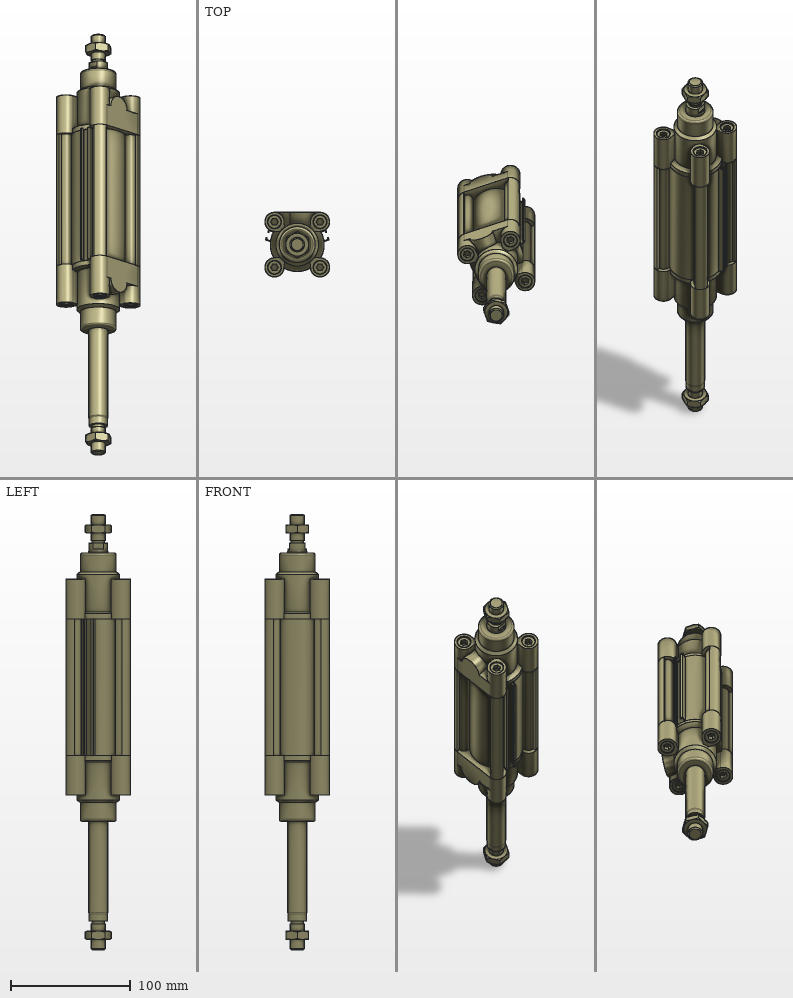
import cadquery as cq
import math


STROKE = 75.0
COVERS_LENGTH = 180.0
BARREL_LENGTH = 114.0
POST_SPACING = 38.0
POST_RADIUS = 8.0
ROD_DIAMETER = 16.0
THREAD_DIAMETER = 12.0
THREAD_LENGTH = 24.0
ROD_REACH = 30.0

POST_OFFSET = POST_SPACING / 2
POST_OUTER = POST_OFFSET + POST_RADIUS
POST_INNER = POST_OFFSET - POST_RADIUS
COVER_END = COVERS_LENGTH / 2
BARREL_END = BARREL_LENGTH / 2
CORNERS = [(1, 1), (-1, 1), (-1, -1), (1, -1)]

FLANGE_RADIUS = 22.5
FLANGE_TOP = BARREL_END + 4.2
FLANGE_CONE_RISE = 1.3
HUB_RADIUS = 17.8
HUB_TOP = COVER_END + 4.0
NECK_RADIUS = 15.0
NECK_BOTTOM = HUB_TOP + 2.2
NECK_TOP = COVER_END + 22.0
NECK_FILLET = 2.0
WEB_CORNER = 10.5
POST_RECESS_DIAMETER = 10.8
POST_RECESS_DEPTH = 1.0
POST_RECESS_CHAMFER = 0.4
POST_SOCKET_ACROSS_FLATS = 5.5
POST_SOCKET_DEPTH = 6.0
PORT_BOSS_X = 4.0
PORT_BOSS_RADIUS = 10.0
PORT_BOSS_Z = 75.0

BARREL_RADIUS = 22.5
COLUMN_RADIUS = 5.0
COLUMN_CAP_START = 19.6
RAIL_ANGLE = 18.0
RAIL_WIDTH = 9.0
RAIL_FACE = 26.5
RAIL_WALL = 0.7
RAIL_MOUTH = 4.4
RAIL_LIP = 0.9
RAIL_FLOOR = 21.0

ROD_END_DIAMETER = 15.5
ROD_END_LENGTH = 6.0
ROD_END_TAPER = 1.0
UNDERCUT_DIAMETER = 10.5
UNDERCUT_LENGTH = 2.3
TIP_CHAMFER = 1.0
SHOULDER_TOP = COVER_END + ROD_REACH
SHOULDER_BOTTOM = -SHOULDER_TOP - STROKE
FLATS_WIDTH = 13.0
FLATS_LENGTH = 5.0

NUT_ACROSS_FLATS = 19.0
NUT_THICKNESS = 7.0
NUT_TO_TIP = 8.6
NUT_CHAMFER_ANGLE = 30.0


def rod_bore():
    """Cutter for the hole that the rod runs through."""
    return cq.Workplane().circle(ROD_DIAMETER / 2).extrude(COVERS_LENGTH, both=True)


def hexagon_corner_diameter(across_flats):
    """Diameter across the corners of a regular hexagon."""
    return across_flats / math.cos(math.pi / 6)


def post():
    """Round corner post in the +X +Y corner, with a web that runs in to the hub."""
    length = COVER_END - BARREL_END
    round_post = cq.Workplane().circle(POST_RADIUS).extrude(length)
    web = (
        cq.Workplane()
        .lineTo(-POST_RADIUS, 0)
        .lineTo(WEB_CORNER - POST_OFFSET, WEB_CORNER - POST_OFFSET)
        .lineTo(0, -POST_RADIUS)
        .close()
        .extrude(length)
    )
    return round_post.union(web).translate((POST_OFFSET, POST_OFFSET, BARREL_END))


def post_hole():
    """Shallow chamfered recess with a blind hexagon socket in the end of a post."""
    recess = (
        cq.Workplane("XZ")
        .moveTo(0, -POST_RECESS_DEPTH)
        .lineTo(POST_RECESS_DIAMETER / 2, -POST_RECESS_DEPTH)
        .lineTo(POST_RECESS_DIAMETER / 2, -POST_RECESS_CHAMFER)
        .lineTo(POST_RECESS_DIAMETER / 2 + POST_RECESS_CHAMFER, 0)
        .lineTo(0, 0)
        .close()
        .revolve()
    )
    socket_corners = hexagon_corner_diameter(POST_SOCKET_ACROSS_FLATS)
    socket = cq.Workplane().polygon(6, socket_corners).extrude(-POST_SOCKET_DEPTH)
    return recess.union(socket).translate((POST_OFFSET, POST_OFFSET, COVER_END))


def in_corner(shape, corner):
    """Mirror a +X +Y shape into another corner."""
    side_x, side_y = corner
    if side_x < 0:
        shape = shape.mirror("YZ")
    if side_y < 0:
        shape = shape.mirror("XZ")
    return shape


def cover_core():
    """Turned middle of a cover: flange, hub and neck."""
    return (
        cq.Workplane("XZ")
        .moveTo(0, BARREL_END)
        .lineTo(FLANGE_RADIUS, BARREL_END)
        .lineTo(FLANGE_RADIUS, FLANGE_TOP)
        .lineTo(HUB_RADIUS, FLANGE_TOP + FLANGE_CONE_RISE)
        .lineTo(HUB_RADIUS, HUB_TOP)
        .lineTo(NECK_RADIUS, NECK_BOTTOM)
        .lineTo(NECK_RADIUS, NECK_TOP)
        .lineTo(0, NECK_TOP)
        .close()
        .revolve()
        .faces(">Z")
        .edges()
        .fillet(NECK_FILLET)
    )


def port_block():
    """Flat-faced block on the +Y side with a round port boss on top of it."""
    depth = POST_OUTER - POST_INNER
    block = (
        cq.Workplane(origin=(0, POST_INNER + depth / 2, BARREL_END))
        .rect(POST_SPACING, depth)
        .extrude(PORT_BOSS_Z - BARREL_END)
    )
    boss = (
        cq.Workplane("XZ", origin=(PORT_BOSS_X, POST_OUTER, PORT_BOSS_Z))
        .circle(PORT_BOSS_RADIUS)
        .extrude(depth)
    )
    return block.union(boss)


def make_cover():
    """Upper end cover; its mirror image in the XY plane is the lower one."""
    cover = cover_core().union(port_block())
    for corner in CORNERS:
        cover = cover.union(in_corner(post(), corner))
    for corner in CORNERS:
        cover = cover.cut(in_corner(post_hole(), corner))
    return cover.cut(rod_bore())


def barrel_column():
    """Corner column of the barrel in the +X +Y corner, with its larger outer cap."""
    column = cq.Workplane().circle(COLUMN_RADIUS).extrude(BARREL_LENGTH)
    cap_shift = COLUMN_CAP_START - POST_OFFSET
    quadrant = (
        cq.Workplane(origin=(cap_shift, cap_shift, 0))
        .rect(POST_RADIUS, POST_RADIUS, centered=False)
        .extrude(BARREL_LENGTH)
    )
    cap = cq.Workplane().circle(POST_RADIUS).extrude(BARREL_LENGTH).intersect(quadrant)
    return column.union(cap).translate((POST_OFFSET, POST_OFFSET, -BARREL_END))


def radial_bar(start, end, width):
    """Bar along +X from start to end, as long as the barrel."""
    return (
        cq.Workplane(origin=((start + end) / 2, 0, -BARREL_END))
        .rect(end - start, width)
        .extrude(BARREL_LENGTH)
    )


def tilted(shape):
    """Turn a bar along +X to the sensor rail's direction."""
    return shape.rotate((0, 0, 0), (0, 0, 1), RAIL_ANGLE)


def make_barrel():
    """Barrel with four corner columns and a slotted sensor rail on the +X and -X sides."""
    barrel = cq.Workplane(origin=(0, 0, -BARREL_END)).circle(BARREL_RADIUS).extrude(BARREL_LENGTH)
    for corner in CORNERS:
        barrel = barrel.union(in_corner(barrel_column(), corner))
    rail = tilted(radial_bar(ROD_DIAMETER / 2, RAIL_FACE, RAIL_WIDTH))
    channel = radial_bar(RAIL_FLOOR, RAIL_FACE - RAIL_LIP, RAIL_WIDTH - 2 * RAIL_WALL)
    mouth = radial_bar(RAIL_FLOOR, RAIL_FACE + RAIL_LIP, RAIL_MOUTH)
    slot = tilted(channel.union(mouth))
    barrel = barrel.union(rail).union(rail.mirror("YZ"))
    return barrel.cut(slot).cut(slot.mirror("YZ")).cut(rod_bore())


def rod_end():
    """Rod end with its shoulder at Z = 0: tapered, slightly thinner collar, undercut and thread."""
    return (
        cq.Workplane("XZ")
        .moveTo(0, -ROD_END_LENGTH - ROD_END_TAPER)
        .lineTo(ROD_DIAMETER / 2, -ROD_END_LENGTH - ROD_END_TAPER)
        .lineTo(ROD_END_DIAMETER / 2, -ROD_END_LENGTH)
        .lineTo(ROD_END_DIAMETER / 2, 0)
        .lineTo(UNDERCUT_DIAMETER / 2, 0)
        .lineTo(UNDERCUT_DIAMETER / 2, UNDERCUT_LENGTH)
        .lineTo(THREAD_DIAMETER / 2, UNDERCUT_LENGTH)
        .lineTo(THREAD_DIAMETER / 2, THREAD_LENGTH - TIP_CHAMFER)
        .lineTo(THREAD_DIAMETER / 2 - TIP_CHAMFER, THREAD_LENGTH)
        .lineTo(0, THREAD_LENGTH)
        .close()
        .revolve()
    )


def make_rod():
    """Through rod with a threaded end at each side and wrench flats at the upper end."""
    shank_bottom = SHOULDER_BOTTOM + ROD_END_LENGTH + ROD_END_TAPER
    shank_top = SHOULDER_TOP - ROD_END_LENGTH - ROD_END_TAPER
    shank = (
        cq.Workplane(origin=(0, 0, shank_bottom))
        .circle(ROD_DIAMETER / 2)
        .extrude(shank_top - shank_bottom)
    )
    upper_end = rod_end().translate((0, 0, SHOULDER_TOP))
    lower_end = rod_end().mirror("XY").translate((0, 0, SHOULDER_BOTTOM))
    rod = shank.union(upper_end).union(lower_end)
    for side in (1, -1):
        middle_x = side * (FLATS_WIDTH + ROD_DIAMETER) / 2
        waste = (
            cq.Workplane(origin=(middle_x, 0, SHOULDER_TOP - FLATS_LENGTH))
            .rect(ROD_DIAMETER, ROD_DIAMETER)
            .extrude(FLATS_LENGTH)
        )
        rod = rod.cut(waste)
    return rod


def make_nut(middle_z):
    """Hexagon nut with flats facing +X and -X and chamfered corners."""
    corner_radius = hexagon_corner_diameter(NUT_ACROSS_FLATS) / 2
    flat_radius = NUT_ACROSS_FLATS / 2
    half = NUT_THICKNESS / 2
    drop = (corner_radius - flat_radius) * math.tan(math.radians(NUT_CHAMFER_ANGLE))
    hexagon = (
        cq.Workplane(origin=(0, 0, -half))
        .polygon(6, 2 * corner_radius)
        .extrude(NUT_THICKNESS)
        .rotate((0, 0, 0), (0, 0, 1), 90)
    )
    turned_blank = (
        cq.Workplane("XZ")
        .moveTo(0, -half)
        .lineTo(flat_radius, -half)
        .lineTo(corner_radius, drop - half)
        .lineTo(corner_radius, half - drop)
        .lineTo(flat_radius, half)
        .lineTo(0, half)
        .close()
        .revolve()
    )
    thread_hole = cq.Workplane().circle(THREAD_DIAMETER / 2).extrude(NUT_THICKNESS, both=True)
    return hexagon.intersect(turned_blank).cut(thread_hole).translate((0, 0, middle_z))


upper_cover = make_cover()
lower_cover = upper_cover.mirror("XY")
barrel = make_barrel()
rod = make_rod()

nut_from_shoulder = THREAD_LENGTH - NUT_TO_TIP - NUT_THICKNESS / 2
nuts = [
    make_nut(middle_z)
    for middle_z in (SHOULDER_TOP + nut_from_shoulder, SHOULDER_BOTTOM - nut_from_shoulder)
]

result = cq.Compound.makeCompound(
    [upper_cover.val(), lower_cover.val(), barrel.val(), rod.val(), *[nut.val() for nut in nuts]]
)